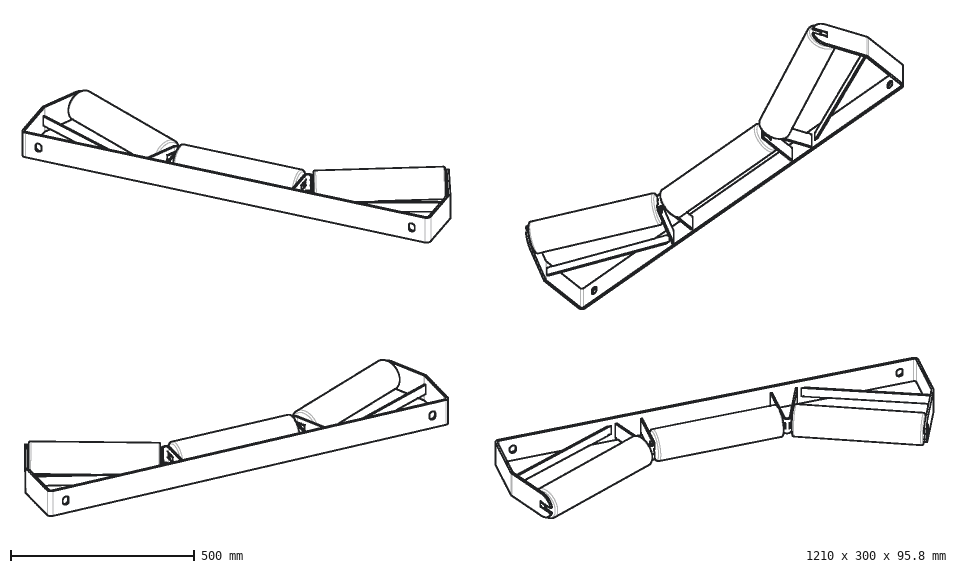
import cadquery as cq
import math


frame_length = 1210.0
frame_height = 77.0
strip_thickness = 6.0
corner_radius = 12.0
knee_y = 150.0
tip_center_reach = 122.0
trough_angle = 25.0
base_hole_spacing = 1107.0
base_hole_width = 18.0
base_hole_height = 25.0

roller_diameter = 90.0
roller_length = 359.0
roller_edge_radius = 5.0
roller_gap = 4.0
shaft_diameter = 19.0
shaft_flat_width = 13.0
slot_clearance = 2.0
middle_axis_y = 99.0
inner_axis_drop = 6.0
outer_axis_reach = 127.0

bracket_height = 50.0
bracket_thickness = 5.0
bracket_bend_radius = 12.0

brace_height = 29.0
brace_thickness = 5.0
brace_wall_y = 145.0
brace_foot_x = 272.0

half_length = frame_length / 2
half_height = frame_height / 2
inside_x = half_length - strip_thickness
slope = math.radians(trough_angle)
along = cq.Vector(math.cos(slope), -math.sin(slope), 0)
upward = cq.Vector(math.sin(slope), math.cos(slope), 0)
slot_width = shaft_flat_width + 2 * slot_clearance
slot_depth_below_axis = shaft_diameter / 2
outer_stub = roller_gap + strip_thickness
inner_stub = roller_gap + bracket_thickness

knee = cq.Vector(-half_length, knee_y, 0)
tip_center = knee + upward * tip_center_reach
outer_seat = knee + upward * outer_axis_reach
inner_seat = outer_seat + along * (roller_length + outer_stub + inner_stub)
middle_seat = cq.Vector(-roller_length / 2 - inner_stub, middle_axis_y, 0)
drop = cq.Vector(0, 0, -inner_axis_drop)


def upright_edge(x, y):
    """Selector for the edge along Z that passes through (x, y)."""
    margin = 0.1
    return cq.selectors.BoxSelector(
        (x - margin, y - margin, -frame_height),
        (x + margin, y + margin, frame_height),
        boundingbox=False,
    )


def extruded_outline(points, height):
    """Solid with the given XY outline, centred on z = 0."""
    return cq.Workplane("XY").polyline(points).close().extrude(height / 2, both=True)


def mirrored(points):
    """Outline points reflected to the other side, in the order that closes the outline."""
    return [(-x, y) for x, y in reversed(points)]


def shaft_slot(seat, axis, up, thickness):
    """Cutter for an open slot through one strip, running up from under the shaft."""
    length = frame_height
    middle = seat + up * (length / 2 - slot_depth_below_axis)
    plane = cq.Plane(origin=middle, xDir=up, normal=axis)
    return cq.Workplane(plane).rect(length, slot_width).extrude(thickness)


def mirror_x(body):
    """Copy of a body on the other side of the middle plane x = 0."""
    return body.mirror("YZ")


def make_frame():
    """Bent strip with a base, two side walls and two sloping ends with shaft slots."""
    tip = tip_center + upward * half_height
    inner_tip = tip + along * strip_thickness
    knee_inset = strip_thickness * math.tan(slope / 2)
    inner_knee = (-inside_x, knee_y - knee_inset)
    left_outer = [(-half_length, 0), (knee.x, knee.y), (tip.x, tip.y)]
    left_inner = [(inner_tip.x, inner_tip.y), inner_knee, (-inside_x, strip_thickness)]
    left_side = left_outer + left_inner
    frame = extruded_outline(left_side + mirrored(left_side), frame_height)

    inner_radius = corner_radius - strip_thickness
    for side in (-1, 1):
        for x, y in [(half_length, 0), (half_length, knee_y)]:
            frame = frame.edges(upright_edge(side * x, y)).fillet(corner_radius)
        for x, y in [(inside_x, strip_thickness), (inside_x, inner_knee[1])]:
            frame = frame.edges(upright_edge(side * x, y)).fillet(inner_radius)

    tip_plane = cq.Plane(origin=tip_center, xDir=upward, normal=along)
    tip_block = (
        cq.Workplane(tip_plane)
        .center(half_height / 2, 0)
        .rect(half_height, frame_height)
        .extrude(strip_thickness)
    )
    tip_disc = cq.Workplane(tip_plane).circle(half_height).extrude(strip_thickness)
    tip_corners = tip_block.cut(tip_disc)
    slot = shaft_slot(outer_seat, along, upward, strip_thickness)
    for cutter in (tip_corners, slot):
        frame = frame.cut(cutter).cut(mirror_x(cutter))

    base_holes = (
        cq.Workplane("XZ")
        .pushPoints([(-base_hole_spacing / 2, 0), (base_hole_spacing / 2, 0)])
        .slot2D(base_hole_height, base_hole_width, 90)
        .extrude(-strip_thickness)
    )
    return frame.cut(base_holes)


def make_bracket():
    """Left bracket: a sloping leg and an upright leg joined by a bend at the top."""
    def sloping_leg_x(y, depth):
        """X of the sloping leg at height y, a given depth in from its inside face."""
        return inner_seat.x - depth / math.cos(slope) + (y - inner_seat.y) * math.tan(slope)

    def apex(x, depth):
        """Point where the sloping leg's face meets an upright face at x."""
        return (x, inner_seat.y + (x - sloping_leg_x(inner_seat.y, depth)) / math.tan(slope))

    foot_y = strip_thickness
    upright_inside_x = middle_seat.x
    upright_outside_x = upright_inside_x + bracket_thickness
    outside_apex = apex(upright_outside_x, bracket_thickness)
    inside_apex = apex(upright_inside_x, 0)
    outline = [
        (sloping_leg_x(foot_y, bracket_thickness), foot_y),
        outside_apex,
        (upright_outside_x, foot_y),
        (upright_inside_x, foot_y),
        inside_apex,
        (sloping_leg_x(foot_y, 0), foot_y),
    ]
    bracket = extruded_outline(outline, bracket_height)
    bracket = bracket.edges(upright_edge(*outside_apex)).fillet(bracket_bend_radius)
    bracket = bracket.edges(upright_edge(*inside_apex)).fillet(bracket_bend_radius - bracket_thickness)
    sloping_slot = shaft_slot(inner_seat, along * -1, upward, bracket_thickness)
    upright_slot = shaft_slot(middle_seat, cq.Vector(1, 0, 0), cq.Vector(0, 1, 0), bracket_thickness)
    return bracket.cut(sloping_slot).cut(upright_slot).translate(drop)


def make_brace():
    """Left brace, from the side wall down to the base."""
    run = inside_x - brace_foot_x
    rise = brace_wall_y - strip_thickness
    brace_length = math.hypot(run, rise)
    wall_depth = brace_thickness * brace_length / run
    foot_depth = brace_thickness * brace_length / rise
    return extruded_outline(
        [
            (-inside_x, brace_wall_y),
            (-brace_foot_x, strip_thickness),
            (-brace_foot_x - foot_depth, strip_thickness),
            (-inside_x, brace_wall_y - wall_depth),
        ],
        brace_height,
    )


def make_roller(start, end, first_stub):
    """Roller on a shaft from seat to seat, whose shell begins first_stub after the start."""
    axis = (end - start).normalized()
    sideways = axis.cross(cq.Vector(0, 0, 1))
    shell_start = start + axis * first_stub
    shell_plane = cq.Plane(origin=shell_start, xDir=sideways.cross(axis), normal=axis)
    shaft_plane = cq.Plane(origin=start, xDir=(0, 0, 1), normal=axis)
    shell = (
        cq.Workplane(shell_plane)
        .circle(roller_diameter / 2)
        .extrude(roller_length)
        .edges("%CIRCLE")
        .fillet(roller_edge_radius)
    )
    shaft_length = (end - start).Length
    shaft = cq.Workplane(shaft_plane).circle(shaft_diameter / 2).extrude(shaft_length)
    flats = cq.Workplane(shaft_plane).rect(shaft_flat_width, shaft_diameter).extrude(shaft_length)
    return shell.union(shaft.intersect(flats))


frame = make_frame()
left_bracket = make_bracket()
left_brace = make_brace()
left_roller = make_roller(outer_seat, inner_seat + drop, outer_stub)
middle_end = cq.Vector(-middle_seat.x, middle_seat.y, 0)
middle_roller = make_roller(middle_seat + drop, middle_end + drop, inner_stub)

bodies = [*frame.solids().vals(), *middle_roller.solids().vals()]
for left_body in (left_bracket, left_brace, left_roller):
    bodies += left_body.solids().vals()
    bodies += mirror_x(left_body).solids().vals()

result = cq.Compound.makeCompound(bodies)